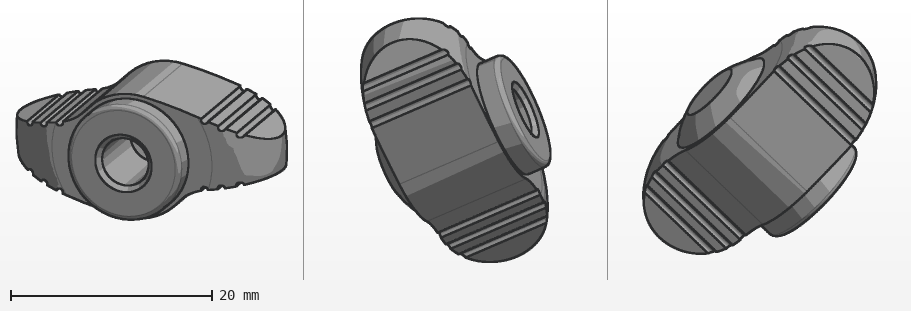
import cadquery as cq
import math

span_radius = 14.0
body_depth = 11.0
half_depth = body_depth / 2
outline_reach = span_radius + 0.55

hub_radius = 6.5
convex_radius = 48.42
convex_start = math.asin(1.2 / hub_radius)
concave_radius = 4.75
concave_start = math.radians(49.3)
flat_slope = math.radians(10.6)

groove_radius = 0.35
first_groove_x = 7.7
groove_pitch = 1.74
grooves_per_flank = 3

boss_radius = 12.0 / 2
boss_height = 2.38
boss_fillet = 0.5
dome_height = 1.62
dome_flat_radius = 3.08

bore_radius = 4.93 / 2
bore_depth = 8.4
bore_chamfer = 0.53
drill_half_angle = math.radians(59)


def from_hub(distance, angle):
    """Point at a distance from the hub axis, at an angle from +Z towards +X."""
    return distance * math.sin(angle), distance * math.cos(angle)


convex_center = from_hub(hub_radius - convex_radius, convex_start)
concave_center = from_hub(hub_radius + concave_radius, -concave_start)


def on_concave(angle):
    """Point of the concave blend where the outline slopes at the given angle."""
    return (
        concave_center[0] + concave_radius * math.sin(angle),
        concave_center[1] - concave_radius * math.cos(angle),
    )


def convex_height(x):
    """Upper outline height on the convex flank (x > 0)."""
    return convex_center[1] + math.sqrt(convex_radius**2 - (x - convex_center[0]) ** 2)


def flat_height(x):
    """Upper outline height on the flat flank (x < 0)."""
    blend_x, blend_z = on_concave(flat_slope)
    return blend_z + (x - blend_x) * math.tan(flat_slope)


def unturned(point):
    """The point itself, for the first half of the outline."""
    return point


def opposite(point):
    """The same point turned half a revolution about the hub axis."""
    return -point[0], -point[1]


def make_outline():
    flat_tip = (-outline_reach, flat_height(-outline_reach))
    blend_end = on_concave(flat_slope)
    blend_middle = on_concave((flat_slope + concave_start) / 2)
    hub_left = from_hub(hub_radius, -concave_start)
    hub_top = from_hub(hub_radius, 0)
    hub_right = from_hub(hub_radius, convex_start)
    convex_middle_x = (hub_right[0] + outline_reach) / 2
    convex_middle = (convex_middle_x, convex_height(convex_middle_x))
    convex_tip = (outline_reach, convex_height(outline_reach))

    outline = cq.Workplane("XZ").moveTo(*opposite(convex_tip))
    for turn in (unturned, opposite):
        outline = (
            outline.lineTo(*turn(flat_tip))
            .lineTo(*turn(blend_end))
            .threePointArc(turn(blend_middle), turn(hub_left))
            .threePointArc(turn(hub_top), turn(hub_right))
            .threePointArc(turn(convex_middle), turn(convex_tip))
        )
    return outline.close()


def make_body():
    rim_center = span_radius - half_depth
    disc = (
        cq.Workplane("XY")
        .moveTo(0, -half_depth)
        .lineTo(rim_center, -half_depth)
        .threePointArc((span_radius, 0), (rim_center, half_depth))
        .lineTo(0, half_depth)
        .close()
        .revolve(360, (0, 0), (0, 1))
    )
    prism = make_outline().extrude(half_depth, both=True)
    return prism.intersect(disc)


def make_grooves():
    centers = []
    for index in range(grooves_per_flank):
        x = first_groove_x + index * groove_pitch
        for point in ((x, convex_height(x)), (-x, flat_height(-x))):
            centers += [point, opposite(point)]
    return cq.Workplane("XZ").pushPoints(centers).circle(groove_radius).extrude(half_depth, both=True)


def make_boss():
    boss = cq.Workplane("XZ").circle(boss_radius).extrude(half_depth + boss_height)
    return boss.faces("<Y").edges().fillet(boss_fillet)


def make_dome():
    top = half_depth + dome_height
    center_drop = (boss_radius**2 - dome_flat_radius**2 - dome_height**2) / (2 * dome_height)
    sphere_radius = math.hypot(boss_radius, center_drop)
    middle_radius = (boss_radius + dome_flat_radius) / 2
    middle_y = half_depth - center_drop + math.sqrt(sphere_radius**2 - middle_radius**2)
    return (
        cq.Workplane("XY")
        .lineTo(boss_radius, 0)
        .lineTo(boss_radius, half_depth)
        .threePointArc((middle_radius, middle_y), (dome_flat_radius, top))
        .lineTo(0, top)
        .close()
        .revolve(360, (0, 0), (0, 1))
    )


def make_bore():
    mouth = -half_depth - boss_height
    bore_end = mouth + bore_depth
    return (
        cq.Workplane("XY")
        .moveTo(0, mouth)
        .lineTo(bore_radius + bore_chamfer, mouth)
        .lineTo(bore_radius, mouth + bore_chamfer)
        .lineTo(bore_radius, bore_end)
        .lineTo(0, bore_end + bore_radius / math.tan(drill_half_angle))
        .close()
        .revolve(360, (0, 0), (0, 1))
    )


result = make_body().cut(make_grooves()).union(make_boss()).union(make_dome()).cut(make_bore())